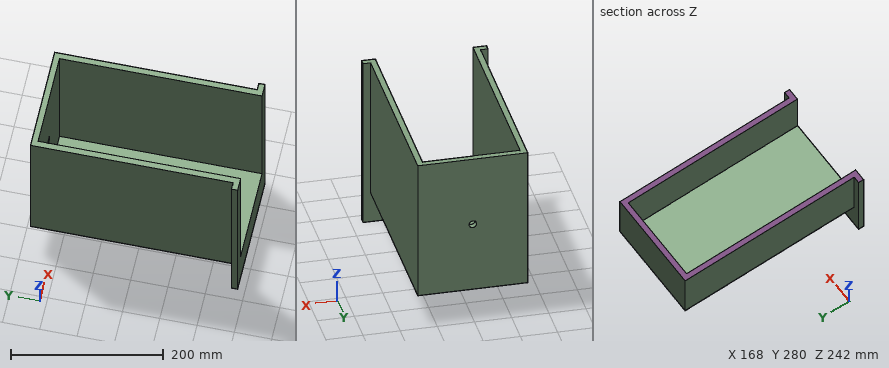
import cadquery as cq

wall = 8.4
front_width = 168.0
flange_overhang = 10.0
total_length = 280.0
total_height = 242.0
front_drop = 44.0

back_hole_diameter = 10.0
floor_hole_diameter = 2.5
floor_hole_from_back = 19.0

box_width = front_width - 2 * flange_overhang
box_height = total_height - front_drop
inner_width = box_width - 2 * wall
inner_length = total_length - wall
floor_top = front_drop + wall


def block(width, length, height, z_start):
    """Block centred on X, with its front face at Y = 0 and its base at the given Z."""
    return (
        cq.Workplane("XY", origin=(0, 0, z_start))
        .box(width, length, height, centered=(True, False, False))
    )


def tray():
    """Box joined to a wider front panel that reaches below the floor, open at the top and front."""
    box = block(box_width, total_length, box_height, front_drop)
    front_panel = block(front_width, wall, total_height, 0)
    cavity = block(inner_width, inner_length, total_height - floor_top, floor_top)
    return box.union(front_panel).cut(cavity)


def back_hole():
    """Hole through the back wall, at the middle of the box height."""
    center_z = front_drop + box_height / 2
    return (
        cq.Workplane("XZ", origin=(0, total_length, center_z))
        .circle(back_hole_diameter / 2)
        .extrude(wall)
    )


def floor_hole():
    """Small hole through the floor, near the back wall."""
    center_y = total_length - floor_hole_from_back
    return (
        cq.Workplane("XY", origin=(0, center_y, front_drop))
        .circle(floor_hole_diameter / 2)
        .extrude(wall)
    )


result = tray().cut(back_hole()).cut(floor_hole())